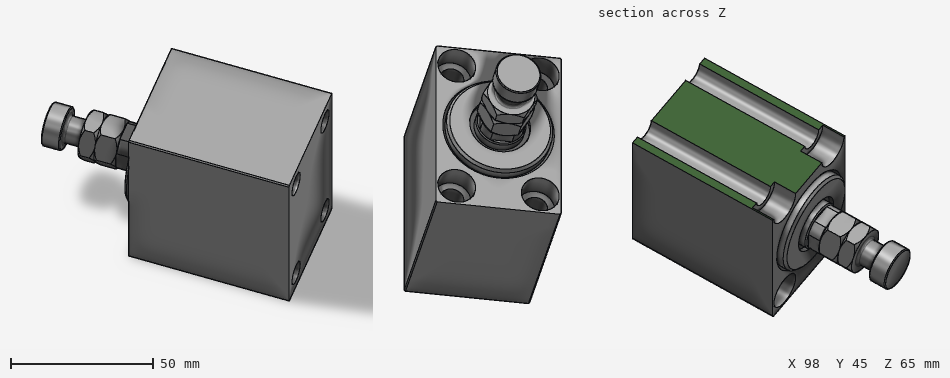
import cadquery as cq
import math

total_length = 98.0

housing_length = 60.0
housing_width = 45.0
housing_height = 65.0
housing_edge_chamfer = 0.5
housing_front_x = total_length - housing_length
gland_seat_depth = 10.0
gland_seat_chamfer = 1.0

bolt_spacing_y = 30.0
bolt_spacing_z = 50.0
bolt_hole_diameter = 8.5
counterbore_diameter = 13.5
counterbore_depth = 9.0

gland_diameter = 38.0
gland_protrusion = 3.0
gland_chamfer = 1.0
gland_recess_diameter = 21.8
gland_recess_depth = 1.9
gland_front_x = housing_front_x - gland_protrusion
gland_back_x = housing_front_x + gland_seat_depth

button_diameter = 16.1
button_length = 7.0
button_chamfer = 0.4
neck_diameter = 10.0
neck_length = 7.1
neck_fillet = 1.0
hex_across_flats = 17.0
front_hex_length = 6.0
rear_hex_length = 8.0
front_hex_x = button_length + neck_length
rear_hex_x = front_hex_x + front_hex_length
rod_front_x = rear_hex_x + rear_hex_length

rod_diameter = 18.0
rod_chamfer = 0.5
rod_tip_diameter = rod_diameter - 2 * rod_chamfer
rod_tip_length = 5.0
rod_tip_chamfer = 0.2
rod_across_flats = 15.2


def cylinder_x(diameter, x_start, x_end):
    """Cylinder on the working axis between two X positions."""
    return cq.Workplane("YZ", origin=(x_start, 0, 0)).circle(diameter / 2).extrude(x_end - x_start)


def make_housing():
    """Block with four counterbored through holes and a blind seat for the gland."""
    block = cq.Workplane("XY").box(housing_length, housing_width, housing_height)
    block = block.translate((housing_front_x + housing_length / 2, 0, 0))
    block = block.edges("|X").chamfer(housing_edge_chamfer)

    block = (
        block.faces("<X").workplane(centerOption="CenterOfBoundBox")
        .rarray(bolt_spacing_y, bolt_spacing_z, 2, 2)
        .cboreHole(bolt_hole_diameter, counterbore_diameter, counterbore_depth)
    )

    seat = cylinder_x(gland_diameter, housing_front_x, gland_back_x)
    mouth = cq.Workplane(cq.Solid.makeCone(
        gland_diameter / 2 + gland_seat_chamfer, gland_diameter / 2, gland_seat_chamfer,
        pnt=cq.Vector(housing_front_x, 0, 0), dir=cq.Vector(1, 0, 0),
    ))
    return block.cut(seat).cut(mouth)


def make_gland():
    """Stepped ring with a shallow recess around the rod bore."""
    gland = cylinder_x(gland_diameter, gland_front_x, gland_back_x)
    gland = gland.faces("<X").chamfer(gland_chamfer)
    recess = cylinder_x(gland_recess_diameter, gland_front_x, gland_front_x + gland_recess_depth)
    rod_bore = cylinder_x(rod_diameter, gland_front_x, gland_back_x)
    return gland.cut(recess).cut(rod_bore)


def make_rod():
    """Round rod with a reduced tip carrying wrench flats."""
    shoulder_x = rod_front_x + rod_tip_length
    shank = cylinder_x(rod_diameter, shoulder_x, gland_back_x)
    shank = shank.faces("<X").chamfer(rod_chamfer)
    tip = cylinder_x(rod_tip_diameter, rod_front_x, shoulder_x)
    tip = tip.faces("<X").chamfer(rod_tip_chamfer)
    flats = (
        cq.Workplane("YZ", origin=(rod_front_x, 0, 0))
        .rect(rod_across_flats, rod_across_flats).extrude(rod_tip_length)
    )
    return shank.union(tip.intersect(flats))


def make_hexagon(x_start, length):
    """Hexagon with flats facing up and down and both ends chamfered at 45 degrees."""
    across_corners = hex_across_flats / math.cos(math.pi / 6)
    corner_chamfer = (across_corners - hex_across_flats) / 2
    prism = (
        cq.Workplane("YZ", origin=(x_start, 0, 0))
        .polygon(6, across_corners).extrude(length)
    )
    envelope = cylinder_x(across_corners, x_start, x_start + length)
    envelope = envelope.faces("<X or >X").chamfer(corner_chamfer)
    return prism.intersect(envelope)


def make_coupling_head():
    """Button and necked shaft in one piece with two hexagons."""
    button = cylinder_x(button_diameter, 0, button_length)
    button = button.faces("<X or >X").chamfer(button_chamfer)

    neck_radius = neck_diameter / 2
    root_radius = neck_radius + neck_fillet
    neck = (
        cq.Workplane("XY")
        .moveTo(button_length, 0)
        .lineTo(button_length, root_radius)
        .radiusArc((button_length + neck_fillet, neck_radius), -neck_fillet)
        .lineTo(front_hex_x - neck_fillet, neck_radius)
        .radiusArc((front_hex_x, root_radius), -neck_fillet)
        .lineTo(front_hex_x, 0)
        .close()
        .revolve(360, (0, 0, 0), (1, 0, 0))
    )

    front_hex = make_hexagon(front_hex_x, front_hex_length)
    rear_hex = make_hexagon(rear_hex_x, rear_hex_length)
    return button.union(neck).union(front_hex).union(rear_hex)


housing = make_housing()
gland = make_gland()
rod = make_rod()
coupling_head = make_coupling_head()

result = cq.Compound.makeCompound([
    housing.solids().val(),
    gland.solids().val(),
    rod.solids().val(),
    coupling_head.solids().val(),
])